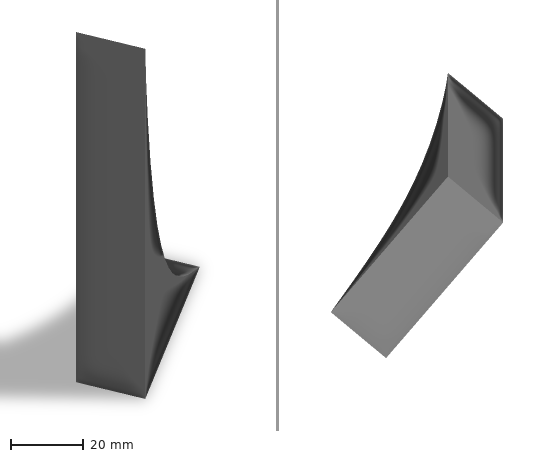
import cadquery as cq

width = 20.0
base_depth = 50.0
height = 150.06

front_seam_height = 50.0

toe_pole = (23.5, 20.4)
middle_pole = (11.0, 32.5)
tip_pole = (2.0, 103.0)


def side_profile():
    """Closed YZ outline on the -X side: flat base, concave back and upright front wall."""
    toe = (base_depth, 0)
    tip = (0, height)
    return (
        cq.Workplane("YZ", origin=(-width / 2, 0, 0))
        .moveTo(0, 0)
        .lineTo(*toe)
        .bezier([toe, toe_pole, middle_pole, tip_pole, tip])
        .lineTo(0, front_seam_height)
        .close()
    )


result = side_profile().extrude(width, clean=False)